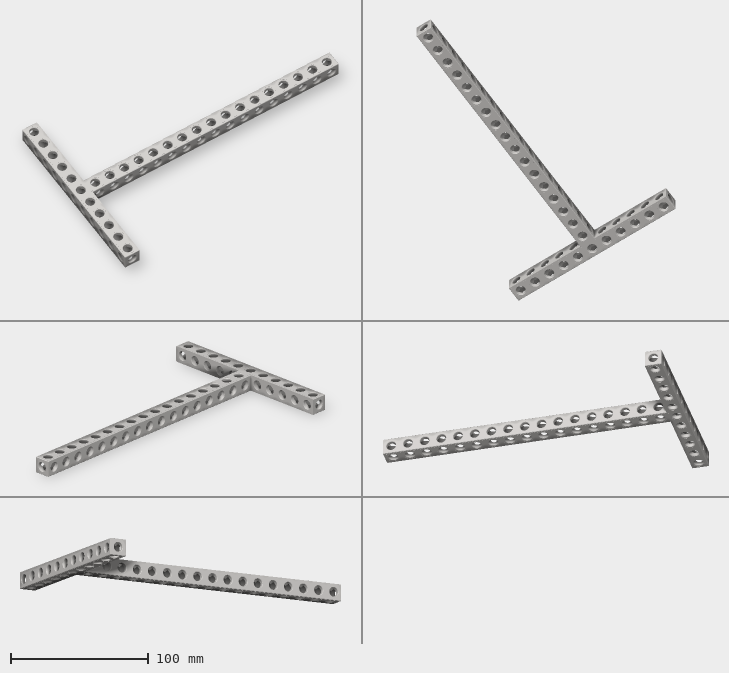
import cadquery as cq

length = 225.0
stem_holes = 18
bar_holes = 11
hole_diameter = 7.0
counterbore_diameter = 9.2
bevel = 0.32
ledge_inset = 1.1
ledge_depth = 0.07
groove_width = 0.7

pitch = length / stem_holes
side = pitch
half = side / 2
bar_length = bar_holes * pitch
stem_centre = length / 2 - half
core_height = side - 2 * ledge_depth
hole_radius = hole_diameter / 2

bar_x = [(i - (bar_holes - 1) / 2) * pitch for i in range(bar_holes)]
stem_y = [i * pitch for i in range(stem_holes)]


def tee(height, inset):
    """T-shaped plate centred on z = 0, its outline moved inwards by the inset."""
    bar = cq.Workplane("XY").box(bar_length - 2 * inset, side - 2 * inset, height)
    stem = cq.Workplane("XY").box(side - 2 * inset, length - 2 * inset, height)
    return bar.union(stem.translate((0, stem_centre, 0)))


def drill(span, recess_depth=0.0):
    """Cutter along Z for a through hole with bevelled rims, with an optional recess at each end."""
    rim = span / 2 - recess_depth
    points = [
        (0, -rim),
        (hole_radius + bevel, -rim),
        (hole_radius, bevel - rim),
        (hole_radius, rim - bevel),
        (hole_radius + bevel, rim),
        (0, rim),
    ]
    cutter = cq.Workplane("XZ").polyline(points).close().revolve(360, (0, 0, 0), (0, 1, 0))
    if recess_depth:
        recess = cq.Workplane("XY").circle(counterbore_diameter / 2).extrude(recess_depth)
        cutter = cutter.union(recess.translate((0, 0, rim)))
        cutter = cutter.union(recess.translate((0, 0, -span / 2)))
    return cutter


def along_x(cutter):
    """Turn a cutter from the Z axis to the X axis."""
    return cutter.rotate((0, 0, 0), (0, 1, 0), 90)


def along_y(cutter):
    """Turn a cutter from the Z axis to the Y axis."""
    return cutter.rotate((0, 0, 0), (1, 0, 0), 90)


core = tee(core_height, 0).edges("|Z and (<Y or >Y)").chamfer(bevel)
core = core.faces("<Z or >Z").edges("(not |X) or <Y or >Y").chamfer(bevel)
body = core.union(tee(side, ledge_inset))

vertical_drill = drill(side, ledge_depth)
for x in bar_x:
    body = body.cut(vertical_drill.translate((x, 0, 0)))
for y in stem_y[1:]:
    body = body.cut(vertical_drill.translate((0, y, 0)))

groove = cq.Workplane("XY").box(pitch, groove_width, 2 * ledge_depth)
body = body.cut(groove.translate((pitch / 2, 0, half)))

bar_drill = along_y(drill(side))
for x in bar_x:
    if x != 0:
        body = body.cut(bar_drill.translate((x, 0, 0)))
body = body.cut(along_y(drill(length)).translate((0, stem_centre, 0)))

stem_drill = along_x(drill(side))
for y in stem_y[1:]:
    body = body.cut(stem_drill.translate((0, y, 0)))
body = body.cut(along_x(drill(bar_length)))

result = body